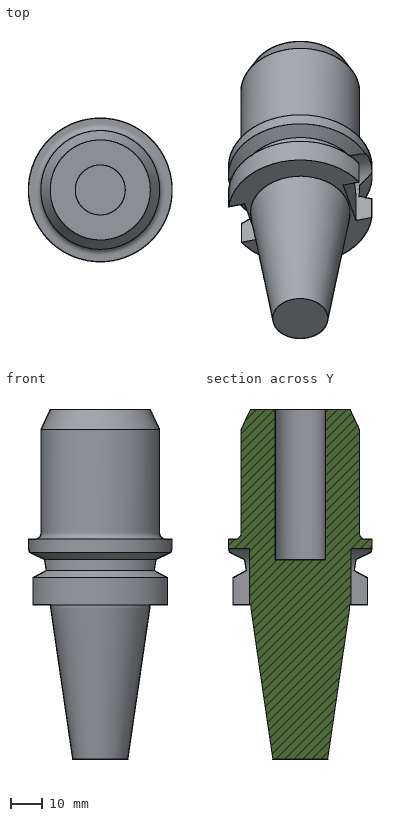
import cadquery as cq
import math


gauge_diameter = 31.75
taper_length = 48.4
taper_ratio = 7 / 24
taper_end_diameter = gauge_diameter - taper_length * taper_ratio

flange_diameter = 46.0
flange_bottom = 1.0
flange_top = 22.0
groove_root_diameter = 38.2
groove_root_width = 3.6
groove_center = 13.75
groove_flank_angle = 30.0
groove_flank_depth = (flange_diameter - groove_root_diameter) / 2
groove_flank_height = groove_flank_depth * math.tan(math.radians(groove_flank_angle))
groove_root_bottom = groove_center - groove_root_width / 2
groove_root_top = groove_center + groove_root_width / 2

nose_height = 63.5
body_diameter = 38.0
nose_diameter = 32.0
nose_angle = 25.0
nose_chamfer_depth = (body_diameter - nose_diameter) / 2
nose_chamfer_height = nose_chamfer_depth / math.tan(math.radians(nose_angle))
collar_fillet = 2.0

bore_diameter = 16.0
bore_depth = 48.0

slot_width = 16.1
slot_top = 19.0
slot_floor_distance = 16.3
slot_arc_center = slot_top - slot_width / 2


def make_body():
    """Revolve the taper, grooved flange and clamping body about Z."""
    gauge_radius = gauge_diameter / 2
    flange_radius = flange_diameter / 2
    groove_radius = groove_root_diameter / 2
    body_radius = body_diameter / 2
    fillet_mid_offset = collar_fillet * (1 - math.sqrt(0.5))
    profile = (
        cq.Workplane("XZ")
        .moveTo(0, -taper_length)
        .lineTo(taper_end_diameter / 2, -taper_length)
        .lineTo(gauge_radius, 0)
        .lineTo(gauge_radius, flange_bottom)
        .lineTo(flange_radius, flange_bottom)
        .lineTo(flange_radius, groove_root_bottom - groove_flank_height)
        .lineTo(groove_radius, groove_root_bottom)
        .lineTo(groove_radius, groove_root_top)
        .lineTo(flange_radius, groove_root_top + groove_flank_height)
        .lineTo(flange_radius, flange_top)
        .lineTo(body_radius + collar_fillet, flange_top)
        .threePointArc(
            (body_radius + fillet_mid_offset, flange_top + fillet_mid_offset),
            (body_radius, flange_top + collar_fillet),
        )
        .lineTo(body_radius, nose_height - nose_chamfer_height)
        .lineTo(nose_diameter / 2, nose_height)
        .lineTo(0, nose_height)
        .close()
    )
    return profile.revolve(360, (0, 0, 0), (0, 1, 0))


def make_bore():
    """Blind, flat-bottomed bore from the nose."""
    return (
        cq.Workplane("XY")
        .workplane(offset=nose_height - bore_depth)
        .circle(bore_diameter / 2)
        .extrude(bore_depth)
    )


def make_drive_slot():
    """Round-topped slot on the +X side, open at the flange bottom, with a flat floor."""
    half_width = slot_width / 2
    return (
        cq.Workplane("YZ")
        .workplane(offset=slot_floor_distance)
        .moveTo(-half_width, flange_bottom)
        .lineTo(half_width, flange_bottom)
        .lineTo(half_width, slot_arc_center)
        .threePointArc((0, slot_top), (-half_width, slot_arc_center))
        .close()
        .extrude(flange_diameter / 2 - slot_floor_distance)
    )


result = make_body().cut(make_bore())
for angle in (0, 180):
    result = result.cut(make_drive_slot().rotate((0, 0, 0), (0, 0, 1), angle))